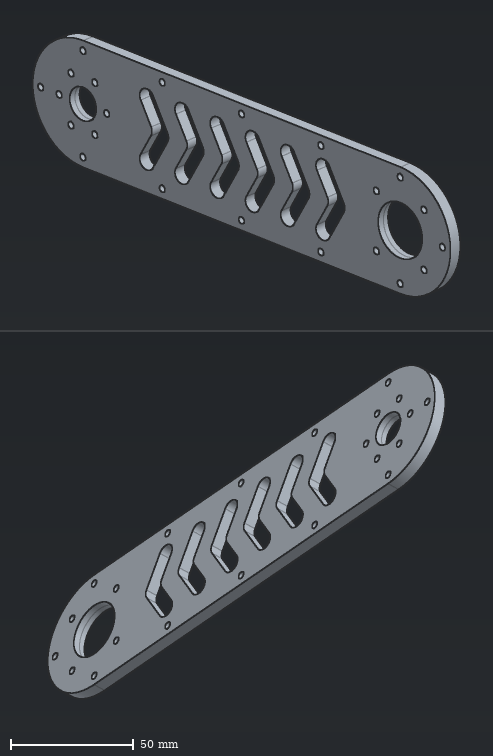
import cadquery as cq
import math

length = 237.0
width = 57.0
thickness = 6.0
end_center = (length - width) / 2

screw_diameter = 3.0
rim_hole_offset = 24.0
rim_hole_columns = 5
rim_hole_pitch = 2 * end_center / (rim_hole_columns - 1)

small_bore_diameter = 15.0
small_ring_radius = 13.5
small_ring_count = 6

large_bore_diameter = 25.0
large_square_side = 27.0

chevron_count = 6
pitches_between_bores = 9
chevron_pitch = 2 * end_center / pitches_between_bores
chevron_first_x = -45.5
chevron_width_along_x = 9.2
chevron_half_height = 18.2
chevron_leg_angle = math.radians(60)
chevron_width = chevron_width_along_x * math.sin(chevron_leg_angle)
chevron_corner_radius = chevron_width / 2


def through_cutter(points, diameter):
    """Cylinders along Y through the full thickness at the given (x, z) points."""
    return cq.Workplane("XZ").pushPoints(points).circle(diameter / 2).extrude(thickness, both=True)


def chevron_cutter():
    """Two round-ended legs of constant width, meeting at a centreline corner on the origin."""
    half_width = chevron_width / 2
    along_x = math.cos(chevron_leg_angle)
    along_z = math.sin(chevron_leg_angle)
    end_z = chevron_half_height - half_width
    end_x = -end_z * along_x / along_z
    wall_x = half_width * along_z
    wall_z = half_width * along_x
    corner_x = chevron_width_along_x / 2
    tip_x = end_x - half_width * along_x
    tip_z = end_z + half_width * along_z

    chevron = (
        cq.Workplane("XZ")
        .moveTo(corner_x, 0)
        .lineTo(end_x + wall_x, end_z + wall_z)
        .threePointArc((tip_x, tip_z), (end_x - wall_x, end_z - wall_z))
        .lineTo(-corner_x, 0)
        .lineTo(end_x - wall_x, -end_z + wall_z)
        .threePointArc((tip_x, -tip_z), (end_x + wall_x, -end_z - wall_z))
        .close()
        .extrude(thickness, both=True)
    )
    corner_band = cq.selectors.BoxSelector(
        (-chevron_width, -thickness, -half_width),
        (chevron_width, thickness, half_width),
    )
    return chevron.edges("|Y").edges(corner_band).fillet(chevron_corner_radius)


plate = cq.Workplane("XZ").slot2D(length, width).extrude(thickness / 2, both=True)

rim_points = []
for column in range(rim_hole_columns):
    x = -end_center + column * rim_hole_pitch
    rim_points += [(x, rim_hole_offset), (x, -rim_hole_offset)]
for side in (-1, 1):
    rim_points.append((side * (end_center + rim_hole_offset), 0))
plate = plate.cut(through_cutter(rim_points, screw_diameter))

ring_points = []
for index in range(small_ring_count):
    angle = 2 * math.pi * index / small_ring_count
    ring_x = -end_center + small_ring_radius * math.cos(angle)
    ring_points.append((ring_x, small_ring_radius * math.sin(angle)))
plate = plate.cut(through_cutter([(-end_center, 0)], small_bore_diameter))
plate = plate.cut(through_cutter(ring_points, screw_diameter))

square_points = []
for side_x in (-1, 1):
    for side_z in (-1, 1):
        square_x = end_center + side_x * large_square_side / 2
        square_points.append((square_x, side_z * large_square_side / 2))
plate = plate.cut(through_cutter([(end_center, 0)], large_bore_diameter))
plate = plate.cut(through_cutter(square_points, screw_diameter))

chevron = chevron_cutter()
for index in range(chevron_count):
    plate = plate.cut(chevron.translate((chevron_first_x + index * chevron_pitch, 0, 0)))

result = plate